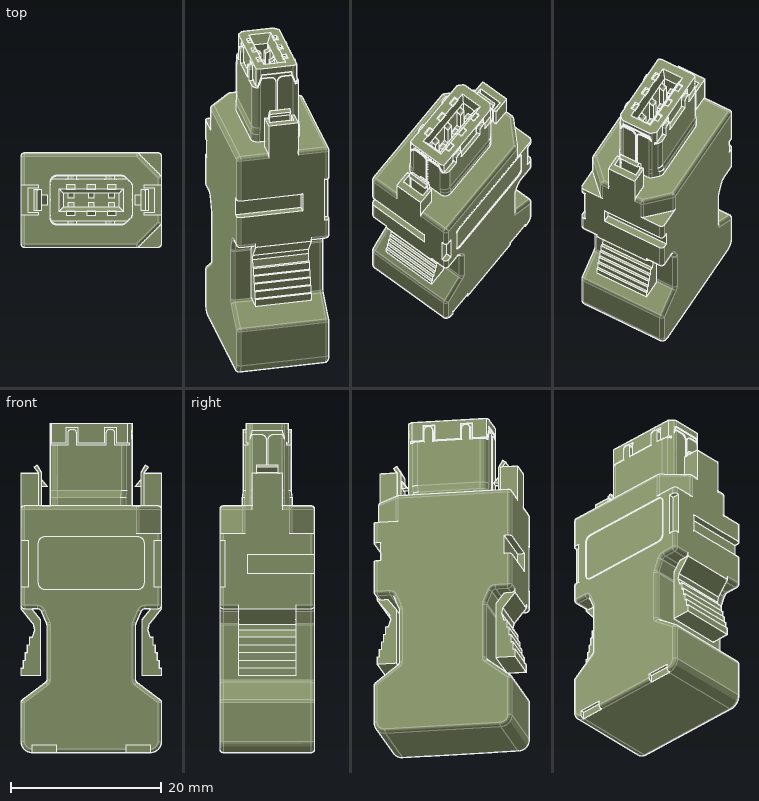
import cadquery as cq
import math

WIDTH = 18.7
DEPTH = 12.6
HEIGHT = 43.8
HALF_WIDTH = WIDTH / 2
HALF_DEPTH = DEPTH / 2
EDGE_RADIUS = 0.5
ROOT_DEPTH = 0.53

HOUSING_TOP = 32.85
KEY_LEDGE = 29.15
KEY_CORNER = 3.15
SHOULDER_Z = 19.15
SHOULDER_INNER_X = 6.8
WAIST_X = 5.9
WAIST_TOP = 17.1
WAIST_BOTTOM = 9.5
FOOT_TOP = 6.9
FOOT_RADIUS = 1.55
SHOULDER_INNER_RADIUS = 0.55
WAIST_RADIUS = 0.53
WAIST_FOOT_RADIUS = 0.4

LABEL_WIDTH = 14.1
LABEL_BOTTOM = 21.72
LABEL_TOP = 28.75
LABEL_RADIUS = 0.88
LABEL_RECESS = 0.15
NOTCH_WIDTH = 1.0
NOTCH_DEPTH = 0.7
NOTCH_BOTTOM = 22.08
NOTCH_TOP = 28.2
FOOT_NOTCH_INNER = 4.6
FOOT_NOTCH_OUTER = 7.9
FOOT_NOTCH_HEIGHT = 1.05
FOOT_NOTCH_DEPTH = 0.5
SIDE_SLOT_BOTTOM = 23.85
SIDE_SLOT_TOP = 26.35
SIDE_SLOT_FRONT = -2.63
SIDE_SLOT_DEPTH = 0.95

LEVER_WIDTH = 7.6
LEVER_TOP = 19.7
LEVER_BOTTOM = 10.25
LEVER_INNER_X = 6.75
ARM_ROOT_X = 7.9
ARM_BEND_X = 7.7
ARM_INNER_BEND_Z = 17.7
NECK_X = 7.55
NECK_Z = 16.35
GRIP_TOP = 15.37
GRIP_START_X = 7.85
GRIP_FIRST_X = 8.25
GRIP_STEPS = 5

TOWER_TOP = 37.2
TOWER_WIDTH = 4.05
TOWER_INNER_X = 7.0
TOWER_WALL = 0.95
TOWER_SIDE_WALL = 0.4
SPRING_WIDTH = 2.8
SPRING_THICKNESS = 0.45
SPRING_INNER_X = 6.6
SPRING_BEND_Z = 37.27
SPRING_TIP_OUTER = (7.6, 37.97)
SPRING_TIP_INNER = (7.2, 38.3)
BARB_WIDTH = 1.35
BARB_REACH = 0.8
BARB_BOTTOM = 35.4
BARB_TOP = 36.35

PLUG_WIDTH = 10.95
PLUG_DEPTH = 6.4
PLUG_RADIUS = 0.95
PLUG_CHAMFER = 1.05
KEY_RADIUS = 1.0
KEY_SIDE_RADIUS = 0.53
BASE_GROWTH = 0.15
BASE_TOP = 33.95
BASE_TAPER_TOP = 34.9
SHELL_TOP = 40.95
RIM_BOTTOM = 41.2
RIM_DEPTH = 5.6
GROOVE_FLOOR_Y = 2.55
TAB_X = 2.55
TAB_WIDTH = 1.1
TAB_RADIUS = 0.45
TAB_TOP = 43.0
TAB_POCKET_WIDTH = 1.58
TAB_POCKET_TOP = 43.27

PANEL_WIDTH = 4.1
PANEL_RECESS = 0.15
PANEL_TOP = 42.3
PANEL_RECESS_TOP = 42.85
PANEL_GAP = 0.2
PANEL_RADIUS = 0.7
CORNER_SLIT_Y = 2.6
CORNER_SLIT_HEIGHT = RIM_BOTTOM - SHELL_TOP

SOCKET_MOUTH = (8.55, 3.0)
SOCKET_THROAT = (7.45, 1.85)
SOCKET_TAPER = 1.25
SOCKET_FLOOR = 37.25
CONTACT_PITCH = 2.7
CONTACT_WIDTH = 0.8
CONTACT_REACH = 0.6
CONTACT_TOP = 42.5
CONTACT_SLOT_WIDTH = 1.1
CONTACT_SLOT_Y = 2.05
CONTACT_SLOT_DEPTH = 0.5
CONTACT_SLOT_CREST = 0.15


def box(x0, x1, y0, y1, z0, z1):
    """Axis-aligned box between two corners."""
    return cq.Workplane("XY").box(x1 - x0, y1 - y0, z1 - z0, centered=False).translate((x0, y0, z0))


def both_sides(shape):
    """The shape together with its mirror image across X = 0."""
    return shape.union(shape.mirror("YZ"))


def along_y(points, width):
    """Polygon of (x, z) points extruded symmetrically about Y = 0."""
    return cq.Workplane("XZ").polyline(points).close().extrude(width / 2, both=True)


def along_x(points, width):
    """Polygon of (y, z) points extruded symmetrically about X = 0."""
    return cq.Workplane("YZ").polyline(points).close().extrude(width / 2, both=True)


def fillet_edges(shape, places, radius, reach=0.05):
    """Fillet the edges whose centres lie within reach of the given places."""
    for x, y, z in places:
        selector = cq.selectors.BoxSelector(
            (x - reach, y - reach, z - reach), (x + reach, y + reach, z + reach))
        shape = shape.edges(selector).fillet(radius)
    return shape


def lower_housing():
    right = [
        (HALF_WIDTH, 0),
        (HALF_WIDTH, FOOT_TOP),
        (WAIST_X, WAIST_BOTTOM),
        (WAIST_X, WAIST_TOP),
        (SHOULDER_INNER_X, SHOULDER_Z),
        (HALF_WIDTH, SHOULDER_Z),
        (HALF_WIDTH, KEY_LEDGE),
    ]
    left = [(-x, z) for x, z in reversed(right)]
    body = along_y(right + left, DEPTH)
    for x, z, radius in (
        (HALF_WIDTH, 0, FOOT_RADIUS),
        (HALF_WIDTH, FOOT_TOP, WAIST_RADIUS),
        (WAIST_X, WAIST_BOTTOM, WAIST_FOOT_RADIUS),
        (WAIST_X, WAIST_TOP, WAIST_RADIUS),
        (SHOULDER_INNER_X, SHOULDER_Z, SHOULDER_INNER_RADIUS),
        (HALF_WIDTH, SHOULDER_Z, WAIST_RADIUS),
    ):
        body = fillet_edges(body, [(x, 0, z), (-x, 0, z)], radius)
    return body.faces("<Y or >Y").edges("not (>Z)").fillet(EDGE_RADIUS)


def upper_housing():
    block = box(-HALF_WIDTH, HALF_WIDTH, -HALF_DEPTH, HALF_DEPTH, KEY_LEDGE, HOUSING_TOP)
    block = block.edges("|Z and >X").chamfer(KEY_CORNER)
    return block.edges("|Z or >Z").fillet(EDGE_RADIUS)


def label_recess():
    label = box(-LABEL_WIDTH / 2, LABEL_WIDTH / 2, -HALF_DEPTH, LABEL_RECESS - HALF_DEPTH,
                LABEL_BOTTOM, LABEL_TOP)
    return label.edges("|Y").fillet(LABEL_RADIUS)


def housing_notches():
    corner = box(HALF_WIDTH - NOTCH_WIDTH, HALF_WIDTH, -HALF_DEPTH, NOTCH_DEPTH - HALF_DEPTH,
                 NOTCH_BOTTOM, NOTCH_TOP)
    foot = box(FOOT_NOTCH_INNER, FOOT_NOTCH_OUTER, -HALF_DEPTH, FOOT_NOTCH_DEPTH - HALF_DEPTH,
               0, FOOT_NOTCH_HEIGHT)
    slot = box(HALF_WIDTH - SIDE_SLOT_DEPTH, HALF_WIDTH, SIDE_SLOT_FRONT, HALF_DEPTH,
               SIDE_SLOT_BOTTOM, SIDE_SLOT_TOP)
    return both_sides(corner.union(foot).union(slot))


def lever():
    """Lever on the +X side: a bent arm ending in a stepped finger grip."""
    step_x = (HALF_WIDTH - GRIP_FIRST_X) / (GRIP_STEPS - 1)
    step_z = (GRIP_TOP - LEVER_BOTTOM) / GRIP_STEPS
    points = [
        (ARM_ROOT_X, LEVER_TOP),
        (HALF_WIDTH, LEVER_TOP),
        (HALF_WIDTH, SHOULDER_Z),
        (ARM_BEND_X, WAIST_TOP),
        (NECK_X, NECK_Z),
        (GRIP_START_X, GRIP_TOP),
    ]
    for i in range(GRIP_STEPS):
        x = GRIP_FIRST_X + i * step_x
        points.append((x, GRIP_TOP - i * step_z))
        points.append((x, GRIP_TOP - (i + 1) * step_z))
    points += [
        (LEVER_INNER_X, LEVER_BOTTOM),
        (LEVER_INNER_X, ARM_INNER_BEND_Z),
        (ARM_ROOT_X, SHOULDER_Z),
    ]
    return along_y(points, LEVER_WIDTH)


def tower():
    """Latch tower on the +X side, open at the top and towards the plug."""
    outer = box(TOWER_INNER_X, HALF_WIDTH, -TOWER_WIDTH / 2, TOWER_WIDTH / 2,
                HOUSING_TOP - ROOT_DEPTH, TOWER_TOP)
    half_cavity = TOWER_WIDTH / 2 - TOWER_SIDE_WALL
    cavity = box(TOWER_INNER_X, HALF_WIDTH - TOWER_WALL, -half_cavity, half_cavity,
                 HOUSING_TOP, TOWER_TOP)
    return outer.cut(cavity)


def spring():
    """Latch spring on the +X side, with a bent tip and a barb facing the plug."""
    outer_x = SPRING_INNER_X + SPRING_THICKNESS
    blade = along_y([
        (SPRING_INNER_X, HOUSING_TOP - ROOT_DEPTH),
        (outer_x, HOUSING_TOP - ROOT_DEPTH),
        (outer_x, SPRING_BEND_Z),
        SPRING_TIP_OUTER,
        SPRING_TIP_INNER,
        (SPRING_INNER_X, SPRING_BEND_Z),
    ], SPRING_WIDTH)
    barb = along_y([
        (SPRING_INNER_X, BARB_BOTTOM),
        (SPRING_INNER_X, BARB_TOP),
        (SPRING_INNER_X - BARB_REACH, BARB_BOTTOM),
    ], BARB_WIDTH)
    return blade.union(barb)


def plug_outline(z, growth):
    """Plug outline with rounded -X corners and cut +X corners, widened in Y by growth."""
    half_width = PLUG_WIDTH / 2
    half_depth = PLUG_DEPTH / 2 + growth
    chamfer_x = half_width - PLUG_CHAMFER - growth
    chamfer_y = PLUG_DEPTH / 2 - PLUG_CHAMFER
    diagonal = PLUG_RADIUS * (1 - math.sqrt(0.5))
    return (
        cq.Workplane("XY", origin=(0, 0, z))
        .moveTo(PLUG_RADIUS - half_width, -half_depth)
        .lineTo(chamfer_x, -half_depth)
        .lineTo(half_width, -chamfer_y)
        .lineTo(half_width, chamfer_y)
        .lineTo(chamfer_x, half_depth)
        .lineTo(PLUG_RADIUS - half_width, half_depth)
        .threePointArc((diagonal - half_width, half_depth - diagonal),
                       (-half_width, half_depth - PLUG_RADIUS))
        .lineTo(-half_width, PLUG_RADIUS - half_depth)
        .threePointArc((diagonal - half_width, diagonal - half_depth),
                       (PLUG_RADIUS - half_width, -half_depth))
        .close()
    )


def plug_section(bottom, bottom_growth, top, top_growth):
    """Length of the plug between two outlines, with the edges of its cut corners rounded."""
    section = cq.Workplane(cq.Solid.makeLoft([
        plug_outline(bottom, bottom_growth).val(),
        plug_outline(top, top_growth).val(),
    ], True))
    growth = (bottom_growth + top_growth) / 2
    middle = (bottom + top) / 2
    chamfer_x = PLUG_WIDTH / 2 - PLUG_CHAMFER - growth
    chamfer_y = PLUG_DEPTH / 2 - PLUG_CHAMFER
    half_depth = PLUG_DEPTH / 2 + growth
    section = fillet_edges(
        section, [(chamfer_x, y, middle) for y in (-half_depth, half_depth)], KEY_RADIUS)
    return fillet_edges(
        section, [(PLUG_WIDTH / 2, y, middle) for y in (-chamfer_y, chamfer_y)], KEY_SIDE_RADIUS)


def plug_body():
    base = plug_section(HOUSING_TOP - ROOT_DEPTH, BASE_GROWTH, BASE_TOP, BASE_GROWTH)
    taper = plug_section(BASE_TOP, BASE_GROWTH, BASE_TAPER_TOP, 0)
    shell = plug_section(BASE_TAPER_TOP, 0, HEIGHT, 0)
    return base.union(taper).union(shell)


def rim_cut():
    """Material removed on the -Y side: thin rim, groove below it and pockets around tabs."""
    half_width = PLUG_WIDTH / 2
    outer_y = -PLUG_DEPTH / 2
    cut = box(-half_width, half_width, outer_y, -RIM_DEPTH / 2, SHELL_TOP, HEIGHT)
    cut = cut.union(box(-half_width, half_width, outer_y, -GROOVE_FLOOR_Y, SHELL_TOP, RIM_BOTTOM))
    for x in (-TAB_X, TAB_X):
        pocket = box(x - TAB_POCKET_WIDTH / 2, x + TAB_POCKET_WIDTH / 2, outer_y,
                     -GROOVE_FLOOR_Y, SHELL_TOP, TAB_POCKET_TOP)
        tab = box(x - TAB_WIDTH / 2, x + TAB_WIDTH / 2, outer_y, -GROOVE_FLOOR_Y,
                  SHELL_TOP, TAB_TOP)
        tab = tab.edges("|Y and >Z").fillet(TAB_RADIUS)
        cut = cut.union(pocket).cut(tab)
    return cut


def side_panel_cut():
    """Recess on the -X side around two panels, with slits sloping down over its corners."""
    inner_x = PANEL_RECESS - PLUG_WIDTH / 2
    recess = box(-PLUG_WIDTH / 2, inner_x, -PANEL_WIDTH / 2, PANEL_WIDTH / 2,
                 HOUSING_TOP, PANEL_RECESS_TOP)
    panel = box(-PLUG_WIDTH / 2, inner_x, PANEL_GAP / 2, PANEL_WIDTH / 2,
                HOUSING_TOP, PANEL_TOP)
    panel = panel.edges("|X and >Z and <Y").fillet(PANEL_RADIUS)
    slit = (
        cq.Workplane("YZ", origin=(-PLUG_WIDTH / 2, 0, 0))
        .polyline([
            (PANEL_WIDTH / 2, PANEL_TOP),
            (PANEL_WIDTH / 2, PANEL_TOP + CORNER_SLIT_HEIGHT),
            (CORNER_SLIT_Y, RIM_BOTTOM),
            (CORNER_SLIT_Y, SHELL_TOP),
        ])
        .close()
        .extrude(PANEL_RECESS)
    )
    cut = recess.cut(panel).cut(panel.mirror("XZ"))
    return cut.union(slit).union(slit.mirror("XZ"))


def socket_cut():
    """Tapered mouth, straight throat and slots at the mouth for the contacts."""
    mouth = (
        cq.Workplane("XY", origin=(0, 0, HEIGHT)).rect(*SOCKET_MOUTH)
        .workplane(offset=-SOCKET_TAPER).rect(*SOCKET_THROAT).loft(ruled=True)
    )
    throat = cq.Workplane("XY", origin=(0, 0, SOCKET_FLOOR)).rect(*SOCKET_THROAT).extrude(
        HEIGHT - SOCKET_TAPER - SOCKET_FLOOR)
    cut = mouth.union(throat)
    slot = along_x([
        (0, HEIGHT),
        (CONTACT_SLOT_Y, HEIGHT),
        (CONTACT_SLOT_Y, HEIGHT - CONTACT_SLOT_DEPTH),
        (SOCKET_MOUTH[1] / 2, HEIGHT - CONTACT_SLOT_CREST),
        (0, HEIGHT - CONTACT_SLOT_CREST),
    ], CONTACT_SLOT_WIDTH)
    for i in (-1, 0, 1):
        moved = slot.translate((i * CONTACT_PITCH, 0, 0))
        cut = cut.union(moved).union(moved.mirror("XZ"))
    return cut


def contacts():
    """Two rows of three spring contacts with hollow sloping tops on the long socket walls."""
    wall_y = SOCKET_THROAT[1] / 2
    tip_y = wall_y - CONTACT_REACH
    diagonal = CONTACT_REACH * math.sqrt(0.5)
    contact = (
        cq.Workplane("YZ")
        .moveTo(wall_y, SOCKET_FLOOR)
        .lineTo(wall_y, CONTACT_TOP)
        .threePointArc((tip_y + diagonal, CONTACT_TOP - diagonal),
                       (tip_y, CONTACT_TOP - CONTACT_REACH))
        .lineTo(tip_y, SOCKET_FLOOR)
        .close()
        .extrude(CONTACT_WIDTH / 2, both=True)
    )
    row = contact
    for i in (-1, 1):
        row = row.union(contact.translate((i * CONTACT_PITCH, 0, 0)))
    return row.union(row.mirror("XZ"))


def plug():
    rim = rim_cut()
    panels = side_panel_cut()
    body = plug_body().cut(rim).cut(rim.mirror("XZ"))
    body = body.cut(both_sides(panels))
    return body.cut(socket_cut()).union(contacts())


housing = lower_housing().union(upper_housing())
housing = housing.cut(label_recess()).cut(housing_notches())
latches = both_sides(lever().union(tower()).union(spring()))
result = housing.union(latches).union(plug())